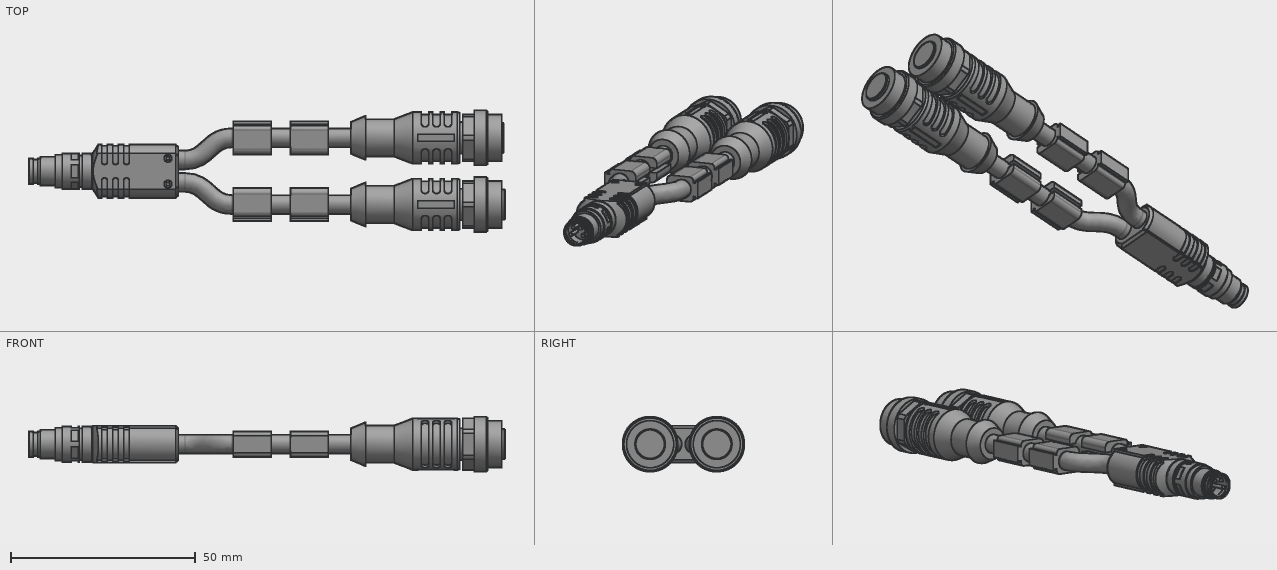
import cadquery as cq
import math


TOTAL_LENGTH = 128.9
GROOVE_COUNT = 3
BRANCH_Y = 9.0
CABLE_DIA = 5.2
OVERLAP = 1.3

PLUG_STEPS = [
    (0.0, 3.1, 7.0),
    (3.1, 7.1, 7.9),
    (7.1, 9.0, 9.0),
    (9.0, 13.7, 9.7),
    (13.7, 14.5, 8.6),
    (14.5, 17.0, 9.7),
    (17.0, 18.5, 8.6),
]
TIP_GROOVE_X = (1.2, 2.5)
TIP_GROOVE_DIA = 6.5
BORE_DIA = 5.9
BORE_DEPTH = 5.2
PIN_DIA = 1.0
PIN_TIP_X = 0.8
PIN_CENTRES = [(-1.0, 1.4), (1.0, 1.4), (-1.8, -0.6), (1.8, -0.6)]
HEX_FLAT_X = (11.5, 13.4)
HEX_FLAT_WIDTH = 9.0

BLOCK_X = (17.3, 40.5)
BLOCK_WIDTH = 14.6
BLOCK_HEIGHT = 10.0
BLOCK_SIDE_DIA = 10.2
BLOCK_PAD_WIDTH = 9.7
BLOCK_NOSE_LENGTH = 1.5
BLOCK_NOSE_DIA = 9.7
BLOCK_TAIL_CHAMFER = 0.8
BLOCK_GROOVE_START = 19.7
BLOCK_GROOVE_PITCH = 3.0
BLOCK_GROOVE_WIDTH = 1.5
BLOCK_GROOVE_DEPTH = 0.4
BLOCK_GROOVE_INNER_Y = 1.8
DIMPLE_X = 37.6
DIMPLE_Y = 3.5
DIMPLE_DIA = 2.0
DIMPLE_DEPTH = 0.4
DIMPLE_CENTRE_DIA = 1.0
DIMPLE_CENTRE_DEPTH = 0.8

CABLE_EXIT_Y = 3.03
BEND_X = (42.2, 54.9)

CLIP_START = 55.3
CLIP_PITCH = 15.5
CLIP_COUNT = 2
CLIP_LENGTH = 10.3
CLIP_HEIGHT = 7.0
CLIP_HALF_WIDTH = 4.5
CLIP_PLATE_THICKNESS = 0.8
CLIP_NECK_LENGTH = 0.5
CLIP_NECK_HEIGHT = 3.9
CLIP_PLATE_HEIGHT = 4.6
CLIP_OUTER_RADIUS = 1.0
CLIP_INNER_RADIUS = 1.5
CLIP_SLOT_HEIGHT = 1.3

SOCKET_X = 87.1
FLARE_END_X = 91.1
FLARE_SMALL_DIA = 8.6
FLARE_DIA = 12.0
NECK_DIA = 10.2
NECK_END_X = 98.9
GRIP_DIA = 14.0
GRIP_X = (103.9, 116.7)
GRIP_TAPER_LENGTH = 0.8
GRIP_TAPER_DEPTH = 0.3
GAP_DIA = 8.6
NUT_X = (117.4, 120.5)
NUT_FLATS = 12.8
NUT_CORNER_DIA = 14.0
RING_END_X = 124.1
RING_DIA = 15.0
RING_CHAMFER = 0.4
SLEEVE_END_X = 128.0
SLEEVE_DIA = 12.8
INSERT_DIA = 8.2
INSERT_CHAMFER = 0.3
SHORT_INSERT_SETBACK = 0.4
SLOT_START = 106.2
SLOT_PITCH = 3.1
SLOT_WIDTH = 2.0
SLOT_INNER_Y = 3.0
SLOT_FLOOR_DIA = 12.8
LABEL_X = (105.3, 115.1)
LABEL_WIDTH = 1.9
LABEL_DEPTH = 0.4


def cylinder(x0, x1, dia, y=0.0, z=0.0):
    """Cylinder along X from x0 to x1."""
    return cq.Workplane("YZ", origin=(x0, y, z)).circle(dia / 2).extrude(x1 - x0)


def box(x0, x1, y0, y1, z0, z1):
    """Box between the given limits."""
    return cq.Workplane("XY").box(x1 - x0, y1 - y0, z1 - z0, centered=False).translate((x0, y0, z0))


def hexagon(x0, x1, flats):
    """Hexagonal bar along X."""
    corner_dia = flats / math.cos(math.pi / 6)
    return cq.Workplane("YZ", origin=(x0, 0, 0)).polygon(6, corner_dia).extrude(x1 - x0)


def both_sides(shape):
    """The shape together with its mirror image across the XZ plane."""
    return shape.union(shape.mirror("XZ"))


def make_plug():
    plug = cylinder(*PLUG_STEPS[0])
    for step in PLUG_STEPS[1:]:
        plug = plug.union(cylinder(*step))
    outer_dia = max(dia for _, _, dia in PLUG_STEPS) + OVERLAP
    groove = cylinder(*TIP_GROOVE_X, outer_dia).cut(cylinder(*TIP_GROOVE_X, TIP_GROOVE_DIA))
    hex_bar = hexagon(*HEX_FLAT_X, HEX_FLAT_WIDTH)
    flats = cylinder(*HEX_FLAT_X, outer_dia).cut(hex_bar)
    plug = plug.cut(groove).cut(flats).cut(cylinder(0, BORE_DEPTH, BORE_DIA))
    for y, z in PIN_CENTRES:
        plug = plug.union(cylinder(PIN_TIP_X, BORE_DEPTH + OVERLAP, PIN_DIA, y, z))
    return plug


def block_section(x0, x1, inset):
    """Flat-topped bar with rounded sides and a raised pad, reduced by inset all round."""
    radius = BLOCK_SIDE_DIA / 2 - inset
    side_centre = (BLOCK_WIDTH - BLOCK_SIDE_DIA) / 2
    half_pad = BLOCK_PAD_WIDTH / 2
    shoulder_z = math.sqrt(radius ** 2 - (half_pad - side_centre) ** 2)
    tip_y = side_centre + radius
    pad_z = BLOCK_HEIGHT / 2 - inset
    outline = (
        cq.Workplane("YZ", origin=(x0, 0, 0))
        .moveTo(half_pad, pad_z)
        .lineTo(half_pad, shoulder_z)
        .threePointArc((tip_y, 0), (half_pad, -shoulder_z))
        .lineTo(half_pad, -pad_z)
        .lineTo(-half_pad, -pad_z)
        .lineTo(-half_pad, -shoulder_z)
        .threePointArc((-tip_y, 0), (-half_pad, shoulder_z))
        .lineTo(-half_pad, pad_z)
        .close()
    )
    return outline.extrude(x1 - x0)


def block_nose_envelope():
    """Round bar as wide as the block, with a conical nose."""
    x0, x1 = BLOCK_X
    profile = [
        (x0, 0),
        (x0, BLOCK_NOSE_DIA / 2),
        (x0 + BLOCK_NOSE_LENGTH, BLOCK_WIDTH / 2),
        (x1, BLOCK_WIDTH / 2),
        (x1, 0),
    ]
    return cq.Workplane("XY").polyline(profile).close().revolve(360, (0, 0, 0), (1, 0, 0))


def round_ended_cutter(x0, width, inner_y, outer_y, height):
    """Slot cutter along Y whose inner end is round when seen from above."""
    radius = width / 2
    cutter = box(x0, x0 + width, inner_y + radius, outer_y, -height / 2, height / 2)
    end = cq.Workplane("XY").center(x0 + radius, inner_y + radius).circle(radius)
    return cutter.union(end.extrude(height / 2, both=True))


def make_block():
    block = block_section(*BLOCK_X, 0).faces(">X").chamfer(BLOCK_TAIL_CHAMFER)
    block = block.intersect(block_nose_envelope())
    core = block_section(*BLOCK_X, BLOCK_GROOVE_DEPTH)
    cutter_height = BLOCK_HEIGHT + OVERLAP
    for i in range(GROOVE_COUNT):
        x0 = BLOCK_GROOVE_START + i * BLOCK_GROOVE_PITCH
        cutter = round_ended_cutter(
            x0, BLOCK_GROOVE_WIDTH, BLOCK_GROOVE_INNER_Y, BLOCK_WIDTH, cutter_height
        )
        block = block.cut(both_sides(cutter).cut(core))
    dimples = (
        cq.Workplane("XY", origin=(0, 0, BLOCK_HEIGHT / 2))
        .pushPoints([(DIMPLE_X, DIMPLE_Y), (DIMPLE_X, -DIMPLE_Y)])
    )
    block = block.cut(dimples.circle(DIMPLE_DIA / 2).extrude(-DIMPLE_DEPTH))
    return block.cut(dimples.circle(DIMPLE_CENTRE_DIA / 2).extrude(-DIMPLE_CENTRE_DEPTH))


def make_cable():
    start_x = BLOCK_X[1] - OVERLAP
    end_x = SOCKET_X + OVERLAP
    path = (
        cq.Workplane("XY")
        .moveTo(start_x, CABLE_EXIT_Y)
        .lineTo(BEND_X[0], CABLE_EXIT_Y)
        .spline([(BEND_X[1], BRANCH_Y)], tangents=[(1, 0), (1, 0)], includeCurrent=True)
        .lineTo(end_x, BRANCH_Y)
    )
    start = cq.Workplane("YZ", origin=(start_x, CABLE_EXIT_Y, 0))
    return start.circle(CABLE_DIA / 2).sweep(path)


def make_clip(x0):
    x1 = x0 + CLIP_LENGTH
    inner_y = BRANCH_Y - CLIP_HALF_WIDTH
    outer_y = BRANCH_Y + CLIP_HALF_WIDTH
    plate_y = outer_y - CLIP_PLATE_THICKNESS
    body_y = plate_y - CLIP_NECK_LENGTH
    half_height = CLIP_HEIGHT / 2
    clip = box(x0, x1, inner_y, body_y, -half_height, half_height)
    clip = clip.faces("<Y").edges("|X").fillet(CLIP_INNER_RADIUS)
    clip = clip.faces(">Y").edges("|X").fillet(CLIP_OUTER_RADIUS)
    slot = box(x0, x1, inner_y, BRANCH_Y, -CLIP_SLOT_HEIGHT / 2, CLIP_SLOT_HEIGHT / 2)
    neck = box(x0, x1, BRANCH_Y, plate_y, -CLIP_NECK_HEIGHT / 2, CLIP_NECK_HEIGHT / 2)
    plate = box(x0, x1, plate_y, outer_y, -CLIP_PLATE_HEIGHT / 2, CLIP_PLATE_HEIGHT / 2)
    return clip.cut(slot).union(neck).union(plate)


def make_socket(end_x):
    profile = [
        (SOCKET_X, 0),
        (SOCKET_X, FLARE_SMALL_DIA / 2),
        (FLARE_END_X, FLARE_DIA / 2),
        (FLARE_END_X, NECK_DIA / 2),
        (NECK_END_X, NECK_DIA / 2),
        (GRIP_X[0], GRIP_DIA / 2),
        (GRIP_X[1] - GRIP_TAPER_LENGTH, GRIP_DIA / 2),
        (GRIP_X[1], GRIP_DIA / 2 - GRIP_TAPER_DEPTH),
        (GRIP_X[1], GAP_DIA / 2),
        (NUT_X[1], GAP_DIA / 2),
        (NUT_X[1], RING_DIA / 2),
        (RING_END_X - RING_CHAMFER, RING_DIA / 2),
        (RING_END_X, RING_DIA / 2 - RING_CHAMFER),
        (RING_END_X, SLEEVE_DIA / 2),
        (SLEEVE_END_X, SLEEVE_DIA / 2),
        (SLEEVE_END_X, INSERT_DIA / 2),
        (end_x - INSERT_CHAMFER, INSERT_DIA / 2),
        (end_x, INSERT_DIA / 2 - INSERT_CHAMFER),
        (end_x, 0),
    ]
    socket = cq.Workplane("XY").polyline(profile).close().revolve(360, (0, 0, 0), (1, 0, 0))

    nut = hexagon(*NUT_X, NUT_FLATS).rotate((0, 0, 0), (1, 0, 0), 90)
    socket = socket.union(nut.intersect(cylinder(*NUT_X, NUT_CORNER_DIA)))

    core = cylinder(*GRIP_X, SLOT_FLOOR_DIA)
    for i in range(GROOVE_COUNT):
        x0 = SLOT_START + i * SLOT_PITCH
        cutter = round_ended_cutter(x0, SLOT_WIDTH, SLOT_INNER_Y, GRIP_DIA, GRIP_DIA)
        socket = socket.cut(both_sides(cutter).cut(core))

    floor_z = GRIP_DIA / 2 - LABEL_DEPTH
    label = box(*LABEL_X, -LABEL_WIDTH / 2, LABEL_WIDTH / 2, floor_z, GRIP_DIA)
    return socket.cut(label).cut(label.mirror("XY"))


branch = make_cable()
for clip_index in range(CLIP_COUNT):
    branch = branch.union(make_clip(CLIP_START + clip_index * CLIP_PITCH))

result = make_plug().union(make_block()).union(both_sides(branch))
result = result.union(make_socket(TOTAL_LENGTH).translate((0, -BRANCH_Y, 0)))
result = result.union(make_socket(TOTAL_LENGTH - SHORT_INSERT_SETBACK).translate((0, BRANCH_Y, 0)))